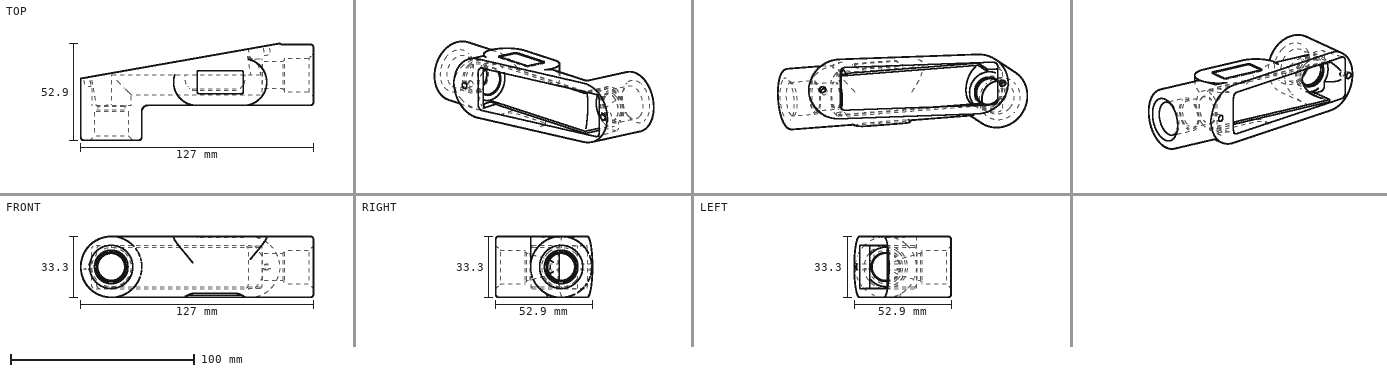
import cadquery as cq
import math


barrel_dia = 33.34
barrel_r = barrel_dia / 2
overall_length = 127.0
overall_depth = 52.89
rim_fillet = 1.7
elbow_fillet = 3.3
run_end_x = overall_length - barrel_r

cover_angle = 10.0
cover_slope = math.tan(math.radians(cover_angle))
cover_height_at_origin = 1.0
flange_end_x = 75.0
flange_fillet = 1.2
cover_tip_y = 17.15
cover_tip_x = (cover_tip_y - cover_height_at_origin) / cover_slope
inlet_end_y = cover_tip_y - overall_depth

pad_length = 50.8
pad_center_x = 59.4
pad_end_r = 12.75
pad_center_y = -3.97
pad_edge_y = -16.64
label_length = 25.2
label_width = 12.6
label_corner_r = 1.0
label_depth = 0.5

boss_start_x = 40.2
boss_end_x = 72.7
boss_edge_y = -7.7
boss_corner_r = 5.0
boss_height = 1.3
boss_foot_height = 0.95
boss_foot_taper = 36.0

hub_bore_r = 9.16
hub_mouth_r = 11.8
hub_depth = 16.0
throat_r = 7.4
throat_lip_r = 8.2
throat_inner_round = 0.4

passage_r = 21.44 / 2
passage_end_x = 82.0
pocket_start_x = -11.0
pocket_end_x = 74.6
pocket_width = 23.9
pocket_corner_r = 2.6
undercut_ceiling_y = 8.75
undercut_width = 23.0
undercut_end_x = 78.0
undercut_taper_rise = 4.0
brow_round = 2.5

screw_dia = 3.3
screw_depth = 5.0
screw_xs = (-13.6, 84.3)


def cover_y(x):
    """Height of the cover face above the run axis at position x."""
    return cover_height_at_origin + cover_slope * x


def block(x_range, y_range, z_range):
    """Axis-aligned box given by its limits."""
    size = [high - low for low, high in (x_range, y_range, z_range)]
    corner = [low for low, high in (x_range, y_range, z_range)]
    return cq.Workplane("XY").box(*size, centered=False).translate(tuple(corner))


def along_x(radius, start, end):
    """Cylinder on the run axis."""
    return cq.Workplane("YZ").workplane(offset=start).circle(radius).extrude(end - start)


def along_y(radius, start, end, center_x=0.0):
    """Cylinder parallel to the inlet axis."""
    plane = cq.Plane(origin=(center_x, start, 0), xDir=(1, 0, 0), normal=(0, 1, 0))
    return cq.Workplane(plane).circle(radius).extrude(end - start)


def crease_edges(body, corner_x, side):
    """Edges of the inside corner where the run meets a crossing barrel, on the +Y or -Y side."""
    near = (corner_x, 0, -barrel_r)
    far = (corner_x + barrel_r, side * barrel_r, barrel_r)
    return body.edges(cq.selectors.BoxSelector(near, far)).edges("%ELLIPSE")


def make_barrels():
    """Run and inlet barrels plus the round far end of the cover flange, left tall for trimming."""
    run = along_x(barrel_r, 0, run_end_x).faces(">X").edges().fillet(rim_fillet)
    inlet = along_y(barrel_r, inlet_end_y, barrel_dia).faces("<Y").edges().fillet(rim_fillet)
    flange_end = along_y(barrel_r, 0, barrel_dia, flange_end_x)
    barrels = run.union(inlet).union(flange_end)
    barrels = crease_edges(barrels, 0, -1).fillet(elbow_fillet)
    return crease_edges(barrels, flange_end_x, 1).fillet(flange_fillet)


def make_flange_wall():
    """Full-width wall under the cover face, between the inlet and the round flange end."""
    return block((0, flange_end_x), (0, barrel_dia), (-barrel_r, barrel_r))


def make_label_pad():
    pad = (
        cq.Workplane("XY")
        .workplane(offset=barrel_r)
        .center(pad_center_x, pad_center_y)
        .slot2D(pad_length, 2 * pad_end_r)
        .extrude(-barrel_r)
    )
    keep = block((0, run_end_x), (pad_edge_y, barrel_r), (0, barrel_r))
    return pad.intersect(keep)


def make_label_recess():
    return (
        cq.Workplane("XY")
        .workplane(offset=barrel_r - label_depth)
        .center(pad_center_x, pad_center_y)
        .rect(label_length, label_width)
        .extrude(label_depth)
        .edges("|Z")
        .fillet(label_corner_r)
    )


def make_boss():
    length = boss_end_x - boss_start_x
    outline = cq.Sketch().rect(length, -2 * boss_edge_y).vertices().fillet(boss_corner_r)
    base = cq.Workplane("XY").center((boss_start_x + boss_end_x) / 2, 0)
    top = base.workplane(offset=-barrel_r).placeSketch(outline).extrude(boss_height)
    foot = (
        base.workplane(offset=boss_height - barrel_r)
        .placeSketch(outline)
        .extrude(boss_foot_height, taper=-boss_foot_taper)
    )
    return top.union(foot)


def cut_above_cover(body):
    """Remove everything above the sloping cover face, keeping the run beyond the face's far tip."""
    left = -2 * barrel_r
    waste = (
        cq.Workplane("XY")
        .polyline([
            (left, cover_y(left)),
            (cover_tip_x, cover_tip_y),
            (run_end_x, cover_tip_y),
            (run_end_x, 2 * barrel_dia),
            (left, 2 * barrel_dia),
        ])
        .close()
        .extrude(2 * barrel_r, both=True)
    )
    return body.cut(waste)


def cover_plane(x):
    """Plane on the cover face at position x, with its normal pointing out of the part."""
    angle = math.radians(cover_angle)
    return cq.Plane(
        origin=(x, cover_y(x), 0),
        xDir=(math.cos(angle), math.sin(angle), 0),
        normal=(-math.sin(angle), math.cos(angle), 0),
    )


def make_cover_opening():
    """Rounded rectangular prism through the cover face, square to it."""
    length = (pocket_end_x - pocket_start_x) / math.cos(math.radians(cover_angle))
    middle = cover_plane((pocket_start_x + pocket_end_x) / 2)
    return (
        cq.Workplane(middle)
        .rect(length, pocket_width)
        .extrude(barrel_r, both=True)
        .edges(cq.selectors.ParallelDirSelector(middle.zDir))
        .fillet(pocket_corner_r)
    )


def make_pocket():
    """Cover opening, going down to the run axis beyond the inlet and staying open over the inlet."""
    z_range = (-barrel_r, barrel_r)
    keep = block((-barrel_r, run_end_x), (0, barrel_dia), z_range)
    keep = keep.union(block((-barrel_r, 0), (-barrel_r, 0), z_range))
    return make_cover_opening().intersect(keep)


def roof_block(start_x, end_x):
    """Flat-roofed cavity section between two positions along the run, above the run axis."""
    half_width = undercut_width / 2
    return block((start_x, end_x), (0, undercut_ceiling_y), (-half_width, half_width))


def make_funnel():
    """Section narrowing from the undercut to the round inner wall of the run hub."""
    cone = (
        cq.Workplane("XY")
        .moveTo(undercut_end_x, 0)
        .lineTo(undercut_end_x, passage_r + undercut_taper_rise)
        .lineTo(passage_end_x, passage_r)
        .lineTo(passage_end_x, 0)
        .close()
        .revolve(360, (0, 0, 0), (1, 0, 0))
    )
    return cone.intersect(roof_block(undercut_end_x, passage_end_x))


def make_cavity():
    """Pocket, undercut, funnel and round passages, with the brow over the undercut rounded."""
    cavity = make_pocket().union(roof_block(flange_end_x / 2, undercut_end_x))
    near = (pocket_end_x, undercut_ceiling_y - brow_round / 2, -barrel_r)
    far = (undercut_end_x - brow_round / 2, undercut_ceiling_y + brow_round / 2, barrel_r)
    brow = cavity.edges(cq.selectors.BoxSelector(near, far)).edges("|Z")
    cavity = brow.fillet(brow_round).union(make_funnel())
    run_passage = along_x(passage_r, 0, passage_end_x)
    below_roof = block((0, run_end_x), (-barrel_r, undercut_ceiling_y), (-barrel_r, barrel_r))
    inlet_passage = along_y(passage_r, -barrel_r, 0)
    return cavity.union(run_passage.intersect(below_roof)).union(inlet_passage)


def make_hub_bore(inner_end, mouth):
    """Bore profile revolved about the X axis: mouth chamfer, bore and a throat rounded at both ends."""
    chamfer = hub_mouth_r - hub_bore_r
    lip = throat_lip_r - throat_r
    seat = mouth - hub_depth
    return (
        cq.Workplane("XY")
        .moveTo(inner_end, 0)
        .lineTo(inner_end, throat_r + throat_inner_round)
        .radiusArc((inner_end + throat_inner_round, throat_r), throat_inner_round)
        .lineTo(seat - lip, throat_r)
        .radiusArc((seat, throat_lip_r), lip)
        .lineTo(seat, hub_bore_r)
        .lineTo(mouth - chamfer, hub_bore_r)
        .lineTo(mouth, hub_mouth_r)
        .lineTo(mouth, 0)
        .close()
        .revolve(360, (0, 0, 0), (1, 0, 0))
    )


def make_screw_hole(x):
    return cq.Workplane(cover_plane(x)).circle(screw_dia / 2).extrude(-screw_depth)


body = cut_above_cover(make_barrels().union(make_flange_wall()))
body = cut_above_cover(body.union(make_label_pad()).union(make_boss()))
body = body.cut(make_label_recess())

body = body.cut(make_cavity())
body = body.cut(make_hub_bore(passage_end_x, run_end_x))
inlet_bore = make_hub_bore(barrel_r, -inlet_end_y).rotate((0, 0, 0), (0, 0, 1), -90)
body = body.cut(inlet_bore)
for screw_x in screw_xs:
    body = body.cut(make_screw_hole(screw_x))

result = body